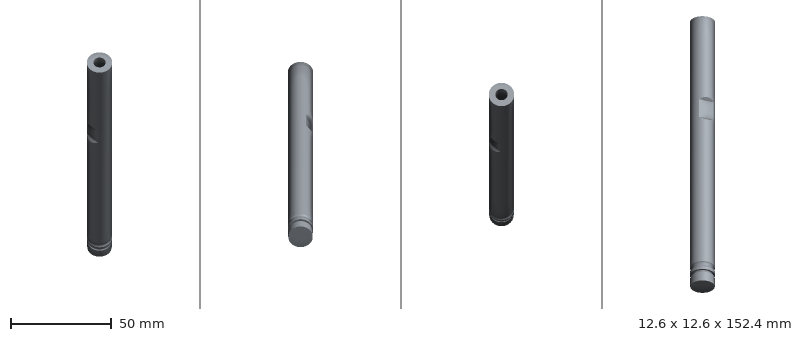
import cadquery as cq

length = 152.4
rod_diameter = 12.6
rod_radius = rod_diameter / 2

collar_diameter = 12.2
collar_radius = collar_diameter / 2

bore_diameter = 6.1
bore_depth = 15.2

square_groove_bottom = 5.0
square_groove_width = 1.39
square_groove_depth = 0.98

round_groove_bottom = 8.1
round_groove_width = 2.9
round_groove_depth = 0.6

flat_middle = 99.5
flat_length = 10.2
across_flats = 9.9


def make_rod():
    """Revolve the half section that carries both grooves."""
    square_groove_top = square_groove_bottom + square_groove_width
    square_groove_radius = rod_radius - square_groove_depth
    round_groove_middle = round_groove_bottom + round_groove_width / 2
    round_groove_top = round_groove_bottom + round_groove_width
    round_groove_radius = rod_radius - round_groove_depth

    section = (
        cq.Workplane("XZ")
        .lineTo(collar_radius, 0)
        .lineTo(collar_radius, square_groove_bottom)
        .lineTo(square_groove_radius, square_groove_bottom)
        .lineTo(square_groove_radius, square_groove_top)
        .lineTo(rod_radius, square_groove_top)
        .lineTo(rod_radius, round_groove_bottom)
        .threePointArc(
            (round_groove_radius, round_groove_middle),
            (rod_radius, round_groove_top),
        )
        .lineTo(rod_radius, length)
        .lineTo(0, length)
        .close()
    )
    return section.revolve(360, (0, 0, 0), (0, 1, 0))


def make_flat_cutter(side):
    """Trapezoidal prism for one flat; side is -1 or +1 along Y."""
    flat_y = across_flats / 2
    ramp = rod_radius - flat_y
    inner_half = flat_length / 2
    outer_half = inner_half + ramp
    return (
        cq.Workplane("YZ")
        .moveTo(side * flat_y, flat_middle - inner_half)
        .lineTo(side * rod_radius, flat_middle - outer_half)
        .lineTo(side * rod_radius, flat_middle + outer_half)
        .lineTo(side * flat_y, flat_middle + inner_half)
        .close()
        .extrude(rod_radius, both=True)
    )


result = make_rod()
for side in (-1, 1):
    result = result.cut(make_flat_cutter(side))
result = result.faces(">Z").workplane(origin=(0, 0, length)).hole(bore_diameter, bore_depth)